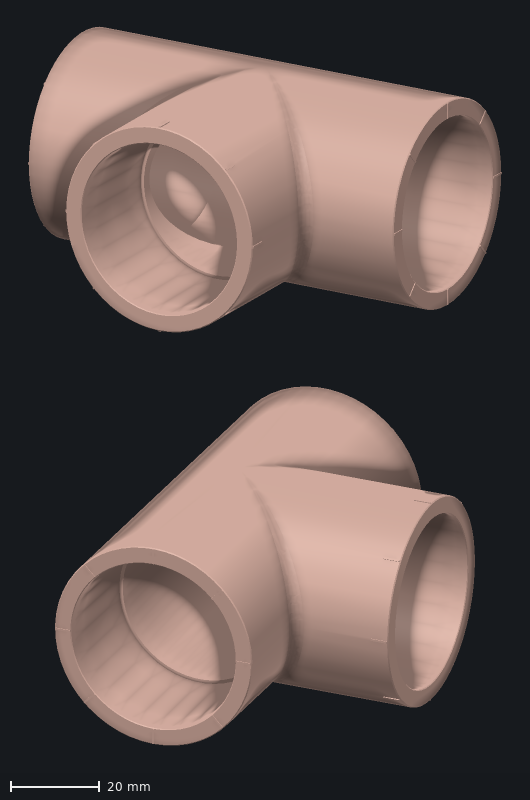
import cadquery as cq

run_length = 95.3
pipe_diameter = 48.5
rib_count = 8
rib_height = 0.2
rib_width = 0.5
branch_rib_length = 4.2
rim_chamfer = 0.24
crotch_radius = 2.5
crotch_end_gap = 0.2

bore_diameter = 38.0
socket_seat_diameter = 39.6
socket_mouth_diameter = 40.4
mouth_chamfer = 0.2
socket_depth = 26.0

leg_length = run_length / 2 - rib_height
pipe_radius = pipe_diameter / 2
crotch_reach = pipe_radius - crotch_end_gap
bore_radius = bore_diameter / 2
seat_radius = socket_seat_diameter / 2
mouth_radius = socket_mouth_diameter / 2


def along_x(leg):
    """Turn a leg built along +Z so that it points to +X."""
    return leg.rotate((0, 0, 0), (0, 1, 0), 90)


def along_minus_x(leg):
    """Turn a leg built along +Z so that it points to -X."""
    return leg.rotate((0, 0, 0), (0, 1, 0), -90)


def along_minus_y(leg):
    """Turn a leg built along +Z so that it points to -Y."""
    return leg.rotate((0, 0, 0), (1, 0, 0), 90)


def outer_body():
    """Run and branch pipes with a rounded crotch and broken outer rims."""
    run = along_x(cq.Workplane("XY").circle(pipe_radius).extrude(leg_length, both=True))
    branch = along_minus_y(cq.Workplane("XY").circle(pipe_radius).extrude(leg_length))
    body = run.union(branch)
    slab = cq.Workplane("XY").box(2 * leg_length, 2 * leg_length, 2 * crotch_reach)
    core = body.intersect(slab)
    rounded_core = core.edges("%ELLIPSE").fillet(crotch_radius)
    return body.union(rounded_core).faces("<X or >X or <Y").chamfer(rim_chamfer)


def leg_bore():
    """Bore of one leg, along +Z from the centre of the fitting."""
    seat_height = leg_length - socket_depth
    profile = [
        (0, 0),
        (bore_radius, 0),
        (bore_radius, seat_height),
        (seat_radius, seat_height),
        (mouth_radius, leg_length - mouth_chamfer),
        (mouth_radius + mouth_chamfer, leg_length),
        (0, leg_length),
    ]
    return cq.Workplane("XZ").polyline(profile).close().revolve(360, (0, 0), (0, 1))


def run_end_ribs():
    """Radial ribs standing on the end face of one leg that points along +Z."""
    inner_radius = mouth_radius + mouth_chamfer
    outer_radius = pipe_radius - rim_chamfer
    return (
        cq.Workplane("XY", origin=(0, 0, leg_length))
        .polarArray((inner_radius + outer_radius) / 2, 0, 360, rib_count)
        .rect(outer_radius - inner_radius, rib_width)
        .extrude(rib_height)
    )


def branch_rim_ribs():
    """Short ribs along the outside of a leg that points along +Z, next to its rim."""
    return (
        cq.Workplane("XY", origin=(0, 0, leg_length - branch_rib_length))
        .polarArray(pipe_radius, 0, 360, rib_count)
        .rect(2 * rib_height, rib_width)
        .extrude(branch_rib_length - rim_chamfer)
    )


result = (
    outer_body()
    .cut(along_x(leg_bore()))
    .cut(along_minus_x(leg_bore()))
    .cut(along_minus_y(leg_bore()))
    .union(along_x(run_end_ribs()))
    .union(along_minus_x(run_end_ribs()))
    .union(along_minus_y(branch_rim_ribs()))
)